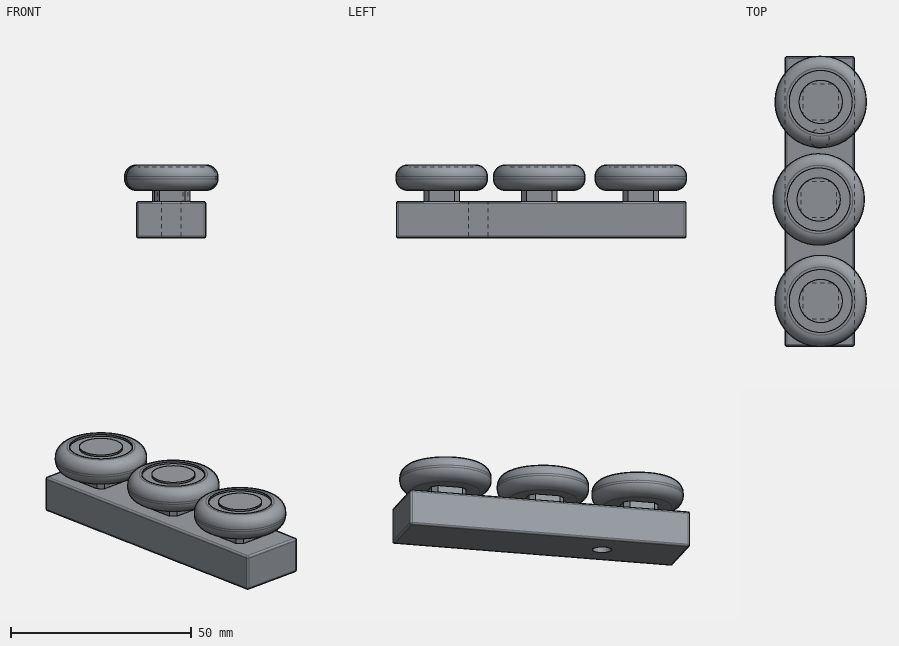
import cadquery as cq

OVERALL_LENGTH = 80.5
OVERALL_HEIGHT = 20.2

BAR_WIDTH = 19.15
BAR_LENGTH = 80.2
BAR_HEIGHT = 10.05
BAR_EDGE_RADIUS = 0.6

BORE_DIAMETER = 5.3
BORE_X = 0.0
BORE_Y = 17.5

STEM_WIDTH = 9.9
STEM_CHAMFER = 1.45

KNOB_DIAMETER = 25.35
KNOB_RIM_RADIUS = 3.2
KNOB_BAND = 0.6
KNOB_HEIGHT = 2 * KNOB_RIM_RADIUS + KNOB_BAND
RECESS_DIAMETER = 17.5
RECESS_DEPTH = 0.52

CAP_DIAMETER = 12.0
CAP_THICKNESS = RECESS_DEPTH

SIDE_OFFSET = 0.28
MIDDLE_OFFSET = 0.6
END_Y = (OVERALL_LENGTH - KNOB_DIAMETER) / 2
STATIONS = [
    (SIDE_OFFSET, -END_Y),
    (-SIDE_OFFSET, MIDDLE_OFFSET),
    (SIDE_OFFSET, END_Y),
]

KNOB_BOTTOM = OVERALL_HEIGHT - KNOB_HEIGHT
RECESS_FLOOR = OVERALL_HEIGHT - RECESS_DEPTH
STEM_HEIGHT = KNOB_BOTTOM - BAR_HEIGHT


def level(z):
    """Horizontal workplane at height z."""
    return cq.Workplane("XY").workplane(offset=z)


def make_bar():
    bar = level(0).rect(BAR_WIDTH, BAR_LENGTH).extrude(BAR_HEIGHT)
    bar = bar.edges().fillet(BAR_EDGE_RADIUS)
    bore = level(0).center(BORE_X, BORE_Y).circle(BORE_DIAMETER / 2).extrude(BAR_HEIGHT)
    return bar.cut(bore)


def make_stem(x, y):
    stem = level(BAR_HEIGHT).center(x, y).rect(STEM_WIDTH, STEM_WIDTH).extrude(STEM_HEIGHT)
    return stem.edges("|Z").chamfer(STEM_CHAMFER)


def make_knob(x, y):
    knob = level(KNOB_BOTTOM).center(x, y).circle(KNOB_DIAMETER / 2).extrude(KNOB_HEIGHT)
    knob = knob.faces("<Z or >Z").edges().fillet(KNOB_RIM_RADIUS)
    recess = level(RECESS_FLOOR).center(x, y).circle(RECESS_DIAMETER / 2).extrude(RECESS_DEPTH)
    return knob.cut(recess)


def make_cap(x, y):
    return level(RECESS_FLOOR).center(x, y).circle(CAP_DIAMETER / 2).extrude(CAP_THICKNESS)


bar = make_bar()
stems = [make_stem(x, y).val() for x, y in STATIONS]
knobs = [make_knob(x, y).val() for x, y in STATIONS]
caps = [make_cap(x, y).val() for x, y in STATIONS]

result = cq.Compound.makeCompound([bar.val(), *stems, *knobs, *caps])